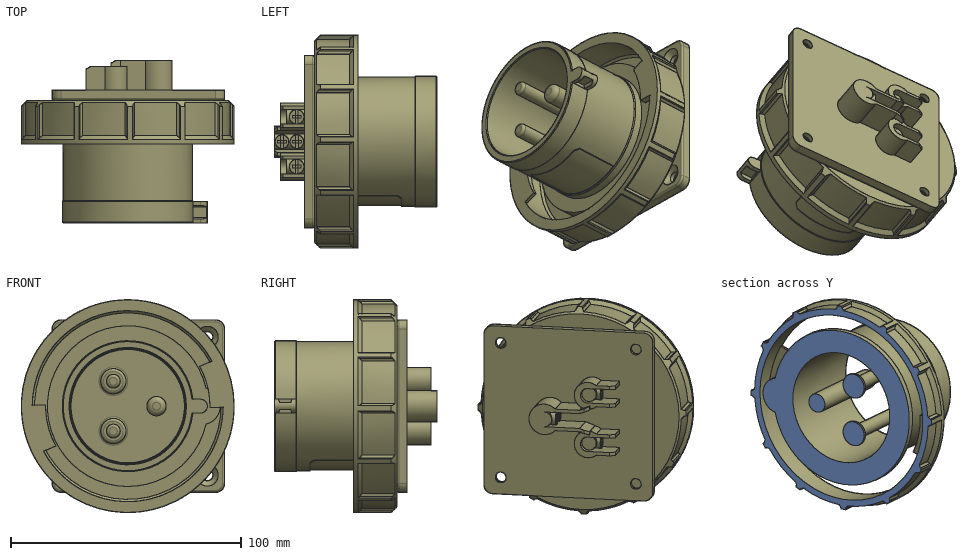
import cadquery as cq
import math


overall_length = 70.7

plate_size = 75.0
plate_offset = 4.6
plate_thickness = 4.4
plate_corner_radius = 4.0
plate_edge_radius = 0.9
screw_spacing = 60.0
screw_hole_diameter = 4.7
countersink_diameter = 9.4
countersink_angle = 90.0

ring_radius = 92.5 / 2
ring_back = -plate_thickness
ring_front = -23.4
ring_chamfer = 2.6
ring_bore_radius = 83.0 / 2
shelf_y = -8.7
shelf_bevel = 1.0

grip_count = 12
grip_first_angle = -1.2
grip_depth = 1.75
grip_front_top = -21.4
grip_front_floor = -19.6
rib_top_width = 2.3
rib_shoulder_width = 2.6
rib_foot_width = 4.2
rib_shoulder_depth = 0.7

tooth_inner_radius = 35.7
tooth_thick = 3.0
tooth_thin = 1.0
tooth_start = 0.5
tooth_end_inner = (-31.2, -17.3)
tooth_end_outer = (-36.4, -19.5)

disc_radius = 34.9
disc_front = -15.7
lobe_radius = 8.0
lobe_centre = 32.2

sleeve_radius = 56.3 / 2
root_radius = 56.9 / 2
root_front = -19.3
root_chamfer = 0.6
collar_radius = 56.9 / 2
collar_back = -48.3
collar_front = -57.7
rim_chamfer = 0.4
bore_mouth_radius = 25.1
bore_floor_radius = 24.65
bore_floor = -12.0

label_depth = 0.3
label_half_width = 15.2
label_front = -42.2
label_corner = 1.8

key_radius = 3.0
key_tip = 34.6
key_web = 3.0
key_pocket_length = 5.9
key_pocket_bevel = 0.6

contact_circle = 12.5
pin_tip = -56.5
pin_tip_flat = 3.4
phase_pin_diameter = 6.0
earth_pin_diameter = 8.4
phase_angle = 120.0
phase_x = contact_circle * math.cos(math.radians(phase_angle))
phase_z = contact_circle * math.sin(math.radians(phase_angle))
boss_radius = 5.5
boss_height = 3.0
boss_foot_radius = 0.7
boss_top_radius = 1.25

terminal_bevel_x = 2.2
terminal_bevel_y = 1.25
terminal_wall = 1.5
phase_terminal_length = 10.4
phase_terminal_radius = 6.0
phase_terminal_front = -18.2
phase_channel_half = 3.2
phase_barrel_length = 7.7
phase_screw_y = 3.3
phase_screw_diameter = 6.3
earth_terminal_length = overall_length + collar_front
earth_terminal_radius = 6.8
earth_terminal_front = -7.3
earth_channel_half = 3.3
earth_flare_start = -3.1
earth_flare = 1.5
earth_screw_y = (3.2, 9.7)
earth_screw_diameter = 5.9
screw_head_height = 1.5
cross_width = 1.2
cross_length = 3.8
cross_depth = 1.0
socket_depth = 1.6


def cylinder(radius, y_from, y_to, x=0.0, z=0.0):
    """Cylinder along Y between two Y positions."""
    axis = cq.Vector(0, 1, 0)
    base = cq.Vector(x, min(y_from, y_to), z)
    return cq.Workplane(cq.Solid.makeCylinder(radius, abs(y_to - y_from), base, axis))


def revolve_y(outline):
    """Turn a closed (radius, y) outline about the Y axis."""
    return cq.Workplane("XY").polyline(outline).close().revolve(360, (0, 0, 0), (0, 1, 0))


def extrude_y(sketch_points, y_from, y_to):
    """Prism along Y from an outline of (x, z) points."""
    plane = cq.Workplane("XZ", origin=(0, y_to, 0))
    return plane.polyline(sketch_points).close().extrude(y_to - y_from)


def mounting_plate():
    plate = (
        cq.Workplane("XZ")
        .center(plate_offset, 0)
        .rect(plate_size, plate_size)
        .extrude(plate_thickness)
        .edges("|Y")
        .fillet(plate_corner_radius)
        .faces("<Y")
        .edges()
        .fillet(plate_edge_radius)
    )
    return (
        plate.faces("<Y")
        .workplane(origin=(plate_offset, 0, 0))
        .rect(screw_spacing, screw_spacing, forConstruction=True)
        .vertices()
        .cskHole(screw_hole_diameter, countersink_diameter, countersink_angle)
    )


def grip_pocket():
    """Pocket between the rib at +Z and the next one toward +X, open at the back."""
    floor_radius = ring_radius - grip_depth
    front_slope = (grip_front_top - grip_front_floor) / grip_depth
    outer_radius = ring_radius + grip_depth
    annulus = revolve_y([
        (floor_radius, ring_back),
        (outer_radius, ring_back),
        (outer_radius, grip_front_floor + 2 * grip_depth * front_slope),
        (floor_radius, grip_front_floor),
    ])
    near_side = [
        (rib_foot_width / 2, floor_radius - grip_depth),
        (rib_foot_width / 2, floor_radius),
        (rib_shoulder_width / 2, ring_radius - rib_shoulder_depth),
        (rib_top_width / 2, ring_radius),
        (rib_top_width / 2, outer_radius),
    ]
    pitch = math.radians(360 / grip_count)
    far_side = [
        (-x * math.cos(pitch) + z * math.sin(pitch), x * math.sin(pitch) + z * math.cos(pitch))
        for x, z in reversed(near_side)
    ]
    middle_radius = outer_radius / math.cos(pitch / 2)
    crown = (middle_radius * math.sin(pitch / 2), middle_radius * math.cos(pitch / 2))
    return annulus.intersect(extrude_y(near_side + [crown] + far_side, ring_front, ring_back))


def locking_ring():
    ring = revolve_y([
        (0, ring_back),
        (ring_radius - ring_chamfer, ring_back),
        (ring_radius, ring_back - ring_chamfer),
        (ring_radius, ring_front),
        (0, ring_front),
    ])
    pocket = grip_pocket()
    for index in range(grip_count):
        angle = grip_first_angle + index * 360 / grip_count
        ring = ring.cut(pocket.rotate((0, 0, 0), (0, 1, 0), -angle))
    bore = revolve_y([
        (0, shelf_y),
        (ring_bore_radius - shelf_bevel, shelf_y),
        (ring_bore_radius, shelf_y - shelf_bevel),
        (ring_bore_radius, ring_front),
        (0, ring_front),
    ])
    return ring.cut(bore)


def bayonet_tooth():
    """Tooth on the -X side of the bore, thinning toward -Z."""
    overlap = 0.5
    wall_radius = ring_bore_radius + overlap
    run_x = tooth_end_outer[0] - tooth_end_inner[0]
    slope = (tooth_end_outer[1] - tooth_end_inner[1]) / run_x
    outer_z = tooth_end_outer[1] - slope * (wall_radius + tooth_end_outer[0])
    footprint = extrude_y([
        (-wall_radius, tooth_start),
        (tooth_end_inner[0], tooth_start),
        tooth_end_inner,
        (-wall_radius, outer_z),
    ], ring_front, ring_front + tooth_thick)
    wedge = (
        cq.Workplane("YZ", origin=(-wall_radius, 0, 0))
        .moveTo(ring_front, tooth_start)
        .lineTo(ring_front + tooth_thick, tooth_start)
        .lineTo(ring_front + tooth_thin, outer_z)
        .lineTo(ring_front, outer_z)
        .close()
        .extrude(wall_radius)
    )
    annulus = cylinder(wall_radius, ring_front, ring_front + tooth_thick)
    annulus = annulus.cut(cylinder(tooth_inner_radius, ring_front, ring_front + tooth_thick))
    return footprint.intersect(wedge).intersect(annulus)


def flange_disc():
    disc = cylinder(disc_radius, shelf_y, disc_front)
    return disc.union(cylinder(lobe_radius, shelf_y, disc_front, lobe_centre))


def sleeve():
    collar_step = collar_radius - sleeve_radius
    return revolve_y([
        (0, ring_back),
        (root_radius, ring_back),
        (root_radius, root_front),
        (sleeve_radius, root_front - root_chamfer),
        (sleeve_radius, collar_back + collar_step),
        (collar_radius, collar_back),
        (collar_radius, collar_front + rim_chamfer),
        (collar_radius - rim_chamfer, collar_front),
        (0, collar_front),
    ])


def sleeve_bore():
    return revolve_y([
        (0, bore_floor),
        (bore_floor_radius, bore_floor),
        (bore_mouth_radius, collar_front + rim_chamfer),
        (bore_mouth_radius + rim_chamfer, collar_front),
        (0, collar_front),
    ])


def label_recess():
    label_back = root_front - root_chamfer
    outline = (
        cq.Workplane("XY", origin=(0, 0, -sleeve_radius))
        .moveTo(-label_half_width, label_back)
        .lineTo(-label_half_width, label_front + label_corner)
        .lineTo(-label_half_width + label_corner, label_front)
        .lineTo(label_half_width - label_corner, label_front)
        .lineTo(label_half_width, label_front + label_corner)
        .lineTo(label_half_width, label_back)
        .close()
        .extrude(sleeve_radius)
    )
    return outline.cut(cylinder(sleeve_radius - label_depth, label_front, label_back))


def polarising_key():
    centre = key_tip - key_radius
    collar_length = collar_back - collar_front
    foot = (bore_mouth_radius + collar_radius) / 2
    key = cylinder(key_radius, collar_front, collar_back, centre)
    key = key.union(cq.Workplane("XY").box(
        centre - foot, collar_length, 2 * key_radius, centered=(False, False, True)
    ).translate((foot, collar_front, 0)))
    pocket_floor = key_pocket_length - 2 * key_pocket_bevel
    pocket_height = key_radius - key_web / 2
    pocket = (
        cq.Workplane("YZ", origin=(collar_radius, 0, 0))
        .center((collar_front + collar_back) / 2, key_web / 2)
        .moveTo(-pocket_floor / 2, 0)
        .lineTo(-key_pocket_length / 2, pocket_height)
        .lineTo(key_pocket_length / 2, pocket_height)
        .lineTo(pocket_floor / 2, 0)
        .close()
        .extrude(key_tip - collar_radius)
    )
    return key.cut(pocket).cut(pocket.mirror("XY"))


def contact_pin(diameter, x, z):
    tip_radius = (diameter - pin_tip_flat) / 2
    pin = cylinder(diameter / 2, pin_tip, bore_floor, x, z)
    return pin.faces("<Y").edges().fillet(tip_radius)


def pin_boss(x, z):
    """Rounded collar around a phase pin on the sleeve floor."""
    diagonal = 1 - math.sqrt(0.5)
    foot = boss_foot_radius
    top = boss_top_radius
    boss = (
        cq.Workplane("XY")
        .moveTo(0, 0)
        .lineTo(boss_radius + foot, 0)
        .threePointArc((boss_radius + foot * diagonal, -foot * diagonal), (boss_radius, -foot))
        .lineTo(boss_radius, top - boss_height)
        .threePointArc(
            (boss_radius - top * diagonal, top * diagonal - boss_height),
            (boss_radius - top, -boss_height),
        )
        .lineTo(0, -boss_height)
        .close()
        .revolve(360, (0, 0, 0), (0, 1, 0))
    )
    return boss.translate((x, bore_floor, z))


def terminal_bevel(front_x, length, half_height):
    """Wedge that bevels the back corner of a terminal at its open side."""
    return (
        cq.Workplane("XY", origin=(0, 0, -half_height))
        .moveTo(front_x, length)
        .lineTo(front_x + terminal_bevel_x, length)
        .lineTo(front_x, length - terminal_bevel_y)
        .close()
        .extrude(2 * half_height)
    )


def terminal_screw(diameter, axis_x, barrel_radius, y):
    """Screw along X with a cross recess in its head, seated in a barrel."""
    head_x = axis_x - barrel_radius - screw_head_height
    head = cq.Workplane("YZ", origin=(head_x, y, 0)).circle(diameter / 2).extrude(axis_x - head_x)
    recess = cq.Workplane("YZ", origin=(head_x, y, 0))
    across = recess.rect(cross_length, cross_width).extrude(cross_depth)
    upright = recess.rect(cross_width, diameter).extrude(cross_depth)
    socket = recess.rect(cross_width, cross_width).extrude(socket_depth)
    return head.cut(across).cut(upright).cut(socket)


def phase_terminal():
    """Phase terminal with its contact axis at z = 0."""
    half_height = phase_channel_half + terminal_wall
    length = phase_terminal_length
    body = cylinder(phase_terminal_radius, 0, length, phase_x)
    body = body.union(extrude_y([
        (phase_terminal_front, -half_height),
        (phase_x, -half_height),
        (phase_x, half_height),
        (phase_terminal_front, half_height),
    ], 0, length))
    channel = cylinder(phase_channel_half, 0, length, phase_x).union(extrude_y([
        (phase_terminal_front, -phase_channel_half),
        (phase_x, -phase_channel_half),
        (phase_x, phase_channel_half),
        (phase_terminal_front, phase_channel_half),
    ], 0, length))
    body = body.cut(channel).cut(terminal_bevel(phase_terminal_front, length, half_height))
    body = body.union(cylinder(phase_channel_half, 0, phase_barrel_length, phase_x))
    screw = terminal_screw(phase_screw_diameter, phase_x, phase_channel_half, phase_screw_y)
    return body.union(screw)


def flared_outline(half_height):
    """Channel-like (x, z) outline that opens outward at the front of the earth terminal."""
    flared = half_height + earth_flare
    return [
        (contact_circle, half_height),
        (earth_flare_start, half_height),
        (earth_terminal_front, flared),
        (earth_terminal_front, -flared),
        (earth_flare_start, -half_height),
        (contact_circle, -half_height),
    ]


def earth_terminal():
    length = earth_terminal_length
    body = cylinder(earth_terminal_radius, 0, length, contact_circle)
    body = body.union(extrude_y(flared_outline(earth_channel_half + terminal_wall), 0, length))
    body = body.cut(extrude_y(flared_outline(earth_channel_half), 0, length))
    body = body.cut(terminal_bevel(earth_terminal_front, length, earth_terminal_radius))
    body = body.union(cylinder(earth_channel_half, 0, length, contact_circle))
    for y in earth_screw_y:
        body = body.union(terminal_screw(earth_screw_diameter, contact_circle, earth_channel_half, y))
    return body


result = locking_ring().union(mounting_plate())
tooth = bayonet_tooth()
result = result.union(tooth).union(tooth.rotate((0, 0, 0), (0, 1, 0), 180))
result = result.union(flange_disc()).union(sleeve()).union(polarising_key())
result = result.cut(sleeve_bore()).cut(label_recess())

result = result.union(contact_pin(earth_pin_diameter, contact_circle, 0)).union(earth_terminal())
for z in (phase_z, -phase_z):
    result = result.union(pin_boss(phase_x, z))
    result = result.union(contact_pin(phase_pin_diameter, phase_x, z))
    result = result.union(phase_terminal().translate((0, 0, z)))